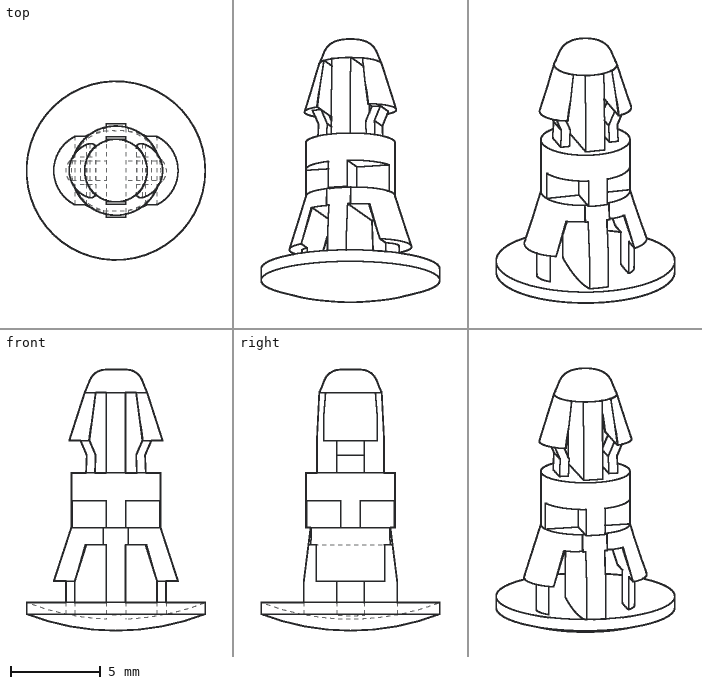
import cadquery as cq

rim_bottom = 0.93
rim_top = 1.59
skirt_bottom = 2.77
skirt_window_top = 4.8
skirt_top = 5.77
cross_top = 7.27
collar_top = 8.82
leaf_bend = 9.81
barb_bottom = 10.63
barb_top = 13.3
dome_shoulder = 14.02
total_height = 14.6

disc_radius = 10.0 / 2
collar_radius = 5.0 / 2
dome_base_radius = 1.75
dome_shoulder_radius = 1.46
dome_tip_radius = 0.57
dome_mid_radius = 1.17
dome_mid_height = 14.4

web_thickness = 1.1
lower_web_half_width = 2.61
lower_web_top_half_width = 2.23
upper_web_half_width = 1.88

skirt_bottom_reach = 3.47
skirt_bottom_radius = 2.13
skirt_top_radius = 2.25
skirt_inner_bottom = 2.29
skirt_inner_top = 1.65
skirt_half_width = 1.91
skirt_bridge_width = 1.4
barb_bottom_reach = 2.61
barb_bottom_radius = 1.58
barb_top_radius = 1.85
barb_inner_bottom = 1.47
barb_inner_top = 1.12
barb_half_width = 1.5

support_width = 1.55
pin_depth = 0.51
leaf_thickness = 0.51
leaf_bend_inner = 1.12
leaf_foot_inner = 1.17

foot_seat = 0.44
overlap = 0.07


def both_sides(wing):
    """Return a wing on +X together with its mirror image on -X."""
    return wing.union(wing.mirror("YZ"))


def extruded_xz(points, width):
    """Extrude an XZ outline symmetrically about Y = 0."""
    return cq.Workplane("XZ").polyline(points).close().extrude(width / 2, both=True)


def extruded_yz(points, thickness):
    """Extrude a YZ outline symmetrically about X = 0."""
    return cq.Workplane("YZ").polyline(points).close().extrude(thickness / 2, both=True)


def slanted_cone(bottom, bottom_reach, bottom_radius, top, top_reach, top_radius):
    """Oblique cone whose +X flank runs between the two given reaches."""
    bottom_center = bottom_radius - bottom_reach
    top_center = top_radius - top_reach
    cone = (
        cq.Workplane("XY", origin=(bottom_center, 0, bottom))
        .circle(bottom_radius)
        .workplane(offset=top - bottom)
        .center(top_center - bottom_center, 0)
        .circle(top_radius)
        .loft(ruled=True)
    )
    return cone.mirror("YZ")


def make_foot():
    """Dished disc with a spherical underside and a matching hollow on top."""
    half = disc_radius / 2
    sphere_radius = (disc_radius**2 + rim_bottom**2) / (2 * rim_bottom)
    half_rise = sphere_radius - (sphere_radius**2 - half**2) ** 0.5
    thickness = rim_top - rim_bottom
    return (
        cq.Workplane("XZ")
        .moveTo(0, 0)
        .threePointArc((half, half_rise), (disc_radius, rim_bottom))
        .lineTo(disc_radius, rim_top)
        .threePointArc((half, half_rise + thickness), (0, thickness))
        .close()
        .revolve(360, (0, 0, 0), (0, 1, 0))
    )


def make_lower_web():
    """Upright web from the dished foot up to the skirt top."""
    outline = [
        (-lower_web_half_width, foot_seat),
        (lower_web_half_width, foot_seat),
        (lower_web_half_width, skirt_bottom),
        (lower_web_top_half_width, skirt_top),
        (-lower_web_top_half_width, skirt_top),
        (-lower_web_half_width, skirt_bottom),
    ]
    return extruded_yz(outline, web_thickness)


def make_skirt():
    """Two lower wings joined by a bridge above the windows."""
    cone = slanted_cone(
        skirt_bottom, skirt_bottom_reach, skirt_bottom_radius, skirt_top, collar_radius, skirt_top_radius
    )
    outside = skirt_bottom_reach + overlap
    wing_profile = [
        (skirt_inner_bottom, skirt_bottom),
        (outside, skirt_bottom),
        (outside, skirt_window_top),
        (skirt_inner_top, skirt_window_top),
    ]
    wing = cone.intersect(extruded_xz(wing_profile, 2 * skirt_half_width))
    upper_profile = [
        (0, skirt_window_top),
        (outside, skirt_window_top),
        (outside, skirt_top),
        (0, skirt_top),
    ]
    upper = cone.intersect(extruded_xz(upper_profile, 2 * disc_radius))
    web_slope = (lower_web_half_width - lower_web_top_half_width) / (skirt_top - skirt_bottom)
    bridge_half_width = lower_web_top_half_width + web_slope * (skirt_top - skirt_window_top)
    bridge = extruded_yz(
        [
            (-bridge_half_width, skirt_window_top),
            (bridge_half_width, skirt_window_top),
            (lower_web_top_half_width, skirt_top),
            (-lower_web_top_half_width, skirt_top),
        ],
        skirt_bridge_width,
    )
    return both_sides(wing.union(upper)).union(bridge)


def make_pins():
    """Bow-shaped pins that tie the skirt wings to the foot."""
    half = support_width / 2
    pin = (
        cq.Workplane("XY", origin=(0, 0, foot_seat))
        .moveTo(skirt_inner_bottom, -half)
        .threePointArc((skirt_inner_bottom + pin_depth, 0), (skirt_inner_bottom, half))
        .close()
        .extrude(skirt_bottom + overlap - foot_seat)
    )
    return both_sides(pin)


def make_collar():
    """Round collar standing on a cross-shaped neck."""
    collar = cq.Workplane("XY", origin=(0, 0, cross_top)).circle(collar_radius).extrude(collar_top - cross_top)
    neck = cq.Workplane("XY", origin=(0, 0, skirt_top)).circle(collar_radius).extrude(cross_top - skirt_top)
    arms = (
        cq.Workplane("XY", origin=(0, 0, skirt_top))
        .rect(2 * collar_radius, web_thickness)
        .extrude(cross_top - skirt_top)
    )
    cross = arms.union(arms.rotate((0, 0, 0), (0, 0, 1), 90))
    return collar.union(neck.intersect(cross))


def make_upper_web():
    """Upright web from the collar up to the dome."""
    outline = [
        (-upper_web_half_width, collar_top - overlap),
        (upper_web_half_width, collar_top - overlap),
        (upper_web_half_width, barb_bottom),
        (dome_base_radius, barb_top),
        (-dome_base_radius, barb_top),
        (-upper_web_half_width, barb_bottom),
    ]
    return extruded_yz(outline, web_thickness)


def make_dome():
    """Rounded nose with a small flat tip."""
    return (
        cq.Workplane("XZ")
        .moveTo(0, barb_top)
        .lineTo(dome_base_radius, barb_top)
        .lineTo(dome_shoulder_radius, dome_shoulder)
        .threePointArc((dome_mid_radius, dome_mid_height), (dome_tip_radius, total_height))
        .lineTo(0, total_height)
        .close()
        .revolve(360, (0, 0, 0), (0, 1, 0))
    )


def make_barbs():
    """Snap barbs hanging from the dome."""
    cone = slanted_cone(
        barb_bottom, barb_bottom_reach, barb_bottom_radius, barb_top, dome_base_radius, barb_top_radius
    )
    outside = barb_bottom_reach + overlap
    profile = [
        (barb_inner_bottom, barb_bottom),
        (outside, barb_bottom),
        (outside, barb_top),
        (barb_inner_top, barb_top),
    ]
    return both_sides(cone.intersect(extruded_xz(profile, 2 * barb_half_width)))


def make_leaves():
    """Bent leaf springs between the collar and the barbs."""
    inner = [
        (leaf_foot_inner, collar_top - overlap),
        (leaf_bend_inner, leaf_bend),
        (barb_inner_bottom, barb_bottom),
        (barb_inner_bottom, barb_bottom + overlap),
    ]
    outer = [(x + leaf_thickness, z) for x, z in reversed(inner)]
    return both_sides(extruded_xz(inner + outer, support_width))


result = (
    make_foot()
    .union(make_lower_web())
    .union(make_skirt())
    .union(make_pins())
    .union(make_collar())
    .union(make_upper_web())
    .union(make_dome())
    .union(make_barbs())
    .union(make_leaves())
)